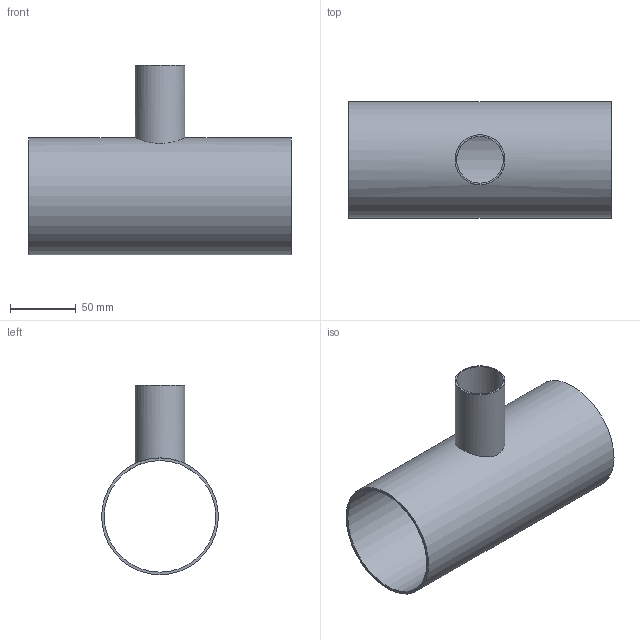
import cadquery as cq

pipe_length = 200.0
pipe_outer_diameter = 89.1
pipe_inner_diameter = 85.1

branch_outer_diameter = 38.1
branch_inner_diameter = 35.7
branch_height = 100.0


def pipe_cylinder(diameter):
    """Solid cylinder along the axis of the main pipe, full length."""
    return cq.Workplane("YZ").circle(diameter / 2).extrude(pipe_length / 2, both=True)


def branch_cylinder(diameter):
    """Solid cylinder from the main pipe axis up to the branch end."""
    return cq.Workplane("XY").circle(diameter / 2).extrude(branch_height)


outer_body = pipe_cylinder(pipe_outer_diameter).union(branch_cylinder(branch_outer_diameter))
result = (
    outer_body
    .cut(pipe_cylinder(pipe_inner_diameter))
    .cut(branch_cylinder(branch_inner_diameter))
)